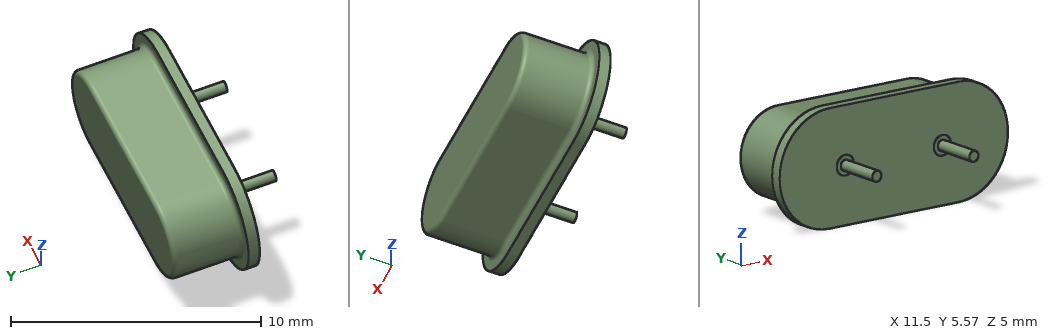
import cadquery as cq

flange_length = 11.5
flange_width = 5.0
flange_thickness = 0.5
overall_depth = 5.57

flange_rim = 0.6
can_length = flange_length - 2 * flange_rim
can_width = flange_width - 2 * flange_rim
edge_radius = 0.21

pin_diameter = 0.46
pin_reach = 2.07
pin_spacing = 4.89
seal_diameter = 0.86
seal_depth = flange_thickness

can_height = overall_depth - pin_reach - flange_thickness
pin_positions = [-pin_spacing / 2, pin_spacing / 2]


def rod(diameter, x, y_start, y_end):
    """Solid cylinder along Y at height Z = 0, from y_start to y_end."""
    base = cq.Workplane("XZ", origin=(x, y_start, 0)).circle(diameter / 2)
    return base.extrude(y_start - y_end)


def make_housing():
    """Flange and can in one piece, with blind pockets for the seals."""
    flange = cq.Workplane("XZ").slot2D(flange_length, flange_width).extrude(-flange_thickness)
    can = (
        cq.Workplane("XZ", origin=(0, flange_thickness, 0))
        .slot2D(can_length, can_width)
        .extrude(-can_height)
        .faces(">Y")
        .edges()
        .fillet(edge_radius)
    )
    housing = flange.union(can)

    margin = flange_rim / 2
    foot_box = cq.selectors.BoxSelector(
        (-can_length / 2 - margin, flange_thickness - edge_radius / 2, -can_width / 2 - margin),
        (can_length / 2 + margin, flange_thickness + edge_radius / 2, can_width / 2 + margin),
        boundingbox=True,
    )
    housing = housing.edges(foot_box).fillet(edge_radius)

    for x in pin_positions:
        housing = housing.cut(rod(seal_diameter, x, 0, seal_depth))
    return housing


def make_seal(x):
    """Ring filling a flange pocket, bored for its pin."""
    return rod(seal_diameter, x, 0, seal_depth).cut(rod(pin_diameter, x, 0, seal_depth))


def make_pin(x):
    """Straight lead from the bottom of the pocket out past the flange face."""
    return rod(pin_diameter, x, -pin_reach, seal_depth)


housing = make_housing()
seals = [make_seal(x) for x in pin_positions]
pins = [make_pin(x) for x in pin_positions]

result = cq.Compound.makeCompound(
    [housing.val(), *[seal.val() for seal in seals], *[pin.val() for pin in pins]]
)